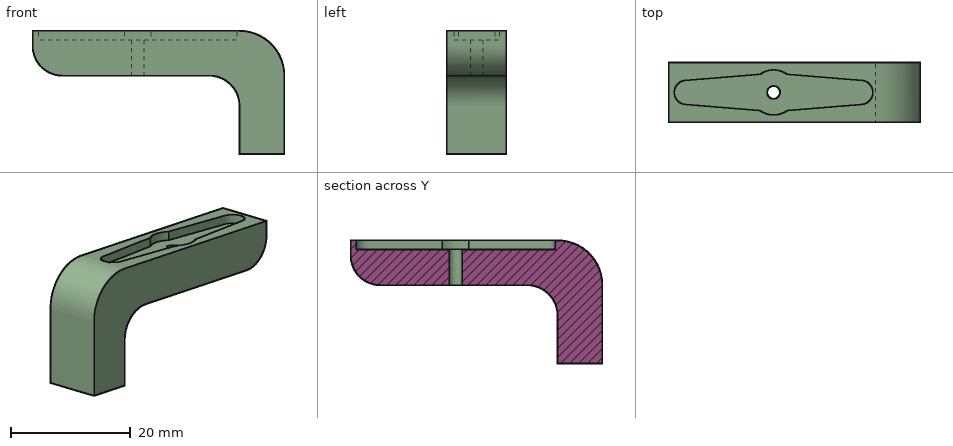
import cadquery as cq
import math

length = 42.0
width = 10.0
height = 20.6
thickness = 7.5
outer_bend_radius = thickness
inner_bend_radius = 5.0
tip_radius = 5.0

pocket_x = 17.5
pocket_depth = 1.5
hub_diameter = 7.5
hole_diameter = 2.1
pocket_half_length = 16.55
end_radius = 2.0
root_half_width = 3.02


def make_bracket():
    """L profile extruded across the width, centred on Y, top face at Z = 0."""
    leg_x = length - thickness
    diagonal = math.sqrt(0.5)
    tip_center = (tip_radius, tip_radius - thickness)
    inner_center = (leg_x - inner_bend_radius, -thickness - inner_bend_radius)
    outer_center = (length - outer_bend_radius, -outer_bend_radius)

    def mid_arc(center, radius, x_sign, z_sign):
        return (center[0] + x_sign * radius * diagonal, center[1] + z_sign * radius * diagonal)

    return (
        cq.Workplane("XZ")
        .lineTo(outer_center[0], 0)
        .threePointArc(mid_arc(outer_center, outer_bend_radius, 1, 1), (length, outer_center[1]))
        .lineTo(length, -height)
        .lineTo(leg_x, -height)
        .lineTo(leg_x, inner_center[1])
        .threePointArc(mid_arc(inner_center, inner_bend_radius, 1, 1), (inner_center[0], -thickness))
        .lineTo(tip_radius, -thickness)
        .threePointArc(mid_arc(tip_center, tip_radius, -1, -1), (0, tip_center[1]))
        .close()
        .extrude(width / 2, both=True)
    )


def make_blade(direction):
    """Tapered, round-ended blade of the pocket, pointing along +X or -X."""
    root_x = math.sqrt((hub_diameter / 2) ** 2 - root_half_width ** 2)
    end_x = pocket_half_length - end_radius
    return (
        cq.Workplane("XY")
        .moveTo(pocket_x, root_half_width)
        .lineTo(pocket_x + direction * root_x, root_half_width)
        .lineTo(pocket_x + direction * end_x, end_radius)
        .threePointArc(
            (pocket_x + direction * pocket_half_length, 0),
            (pocket_x + direction * end_x, -end_radius),
        )
        .lineTo(pocket_x + direction * root_x, -root_half_width)
        .lineTo(pocket_x, -root_half_width)
        .close()
        .extrude(-pocket_depth)
    )


def make_cylinder(diameter, depth):
    return cq.Workplane("XY").center(pocket_x, 0).circle(diameter / 2).extrude(-depth)


pocket = make_cylinder(hub_diameter, pocket_depth)
for direction in (-1, 1):
    pocket = pocket.union(make_blade(direction))

screw_hole = make_cylinder(hole_diameter, thickness)
result = make_bracket().cut(pocket).cut(screw_hole)